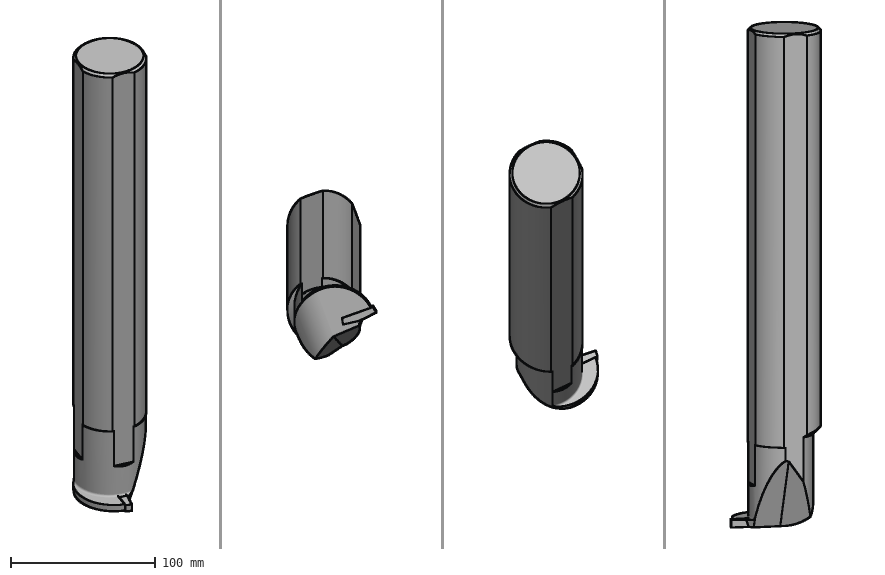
import cadquery as cq
import math

bar_length = 350.0
shank_radius = 25.4
flat_distance = 24.0
end_chamfer = 2.0
flat_end_z = 30.0
shank_end_z = 58.5
head_radius = 25.1
clear_size = 4 * shank_radius

blade_radius = 28.3
blade_reach_y = 28.79
blade_center = (8.45, blade_radius - blade_reach_y)
blade_thickness = 5.2
blade_fillet = 1.5

relief_top_z = 65.0
heel_radius = 25.0
heel_depth = 24.9

gullet_tilt = 20.5
gullet_half_height = 70.0
gullet_back = (-60.0, 37.0)
gullet_floor_start = (5.0, 5.4)
gullet_floor_end = (24.0, 4.3)
gullet_nose = (31.5, -4.0)

insert_tip_x = 38.7
insert_length = 24.5
insert_bottom_y = -4.5
insert_crown_y = 1.4
insert_rake_y = 0.7
insert_head_length = 5.5
insert_end_relief = 0.8
insert_overhang = 0.02


def bar_blank():
    """Chamfered round shank on the slightly slimmer round head."""
    shank = (
        cq.Workplane("XY")
        .workplane(offset=shank_end_z)
        .circle(shank_radius)
        .extrude(bar_length - shank_end_z)
        .faces(">Z")
        .chamfer(end_chamfer)
    )
    head = cq.Workplane("XY").circle(head_radius).extrude(shank_end_z)
    return shank.union(head)


def flat_envelope():
    """Flats towards -Y, +Y and +X that run out at their foot on 45 degree ramps."""
    width = flat_distance + clear_size
    center_x = flat_distance - width / 2
    base = cq.Workplane("XY").workplane(offset=flat_end_z).center(center_x, 0)
    above = base.rect(width, 2 * flat_distance).extrude(bar_length)
    ramps = base.rect(width, 2 * flat_distance).extrude(-flat_end_z, taper=-45)
    return above.union(ramps)


def blade():
    return cq.Workplane("XY").center(*blade_center).circle(blade_radius).extrude(blade_thickness)


def blade_root():
    """Ring with a concave quarter-round section between the head and the blade."""
    outer_radius = head_radius + blade_fillet
    return (
        cq.Workplane("XZ")
        .moveTo(0, blade_thickness)
        .lineTo(outer_radius, blade_thickness)
        .radiusArc((head_radius, blade_thickness + blade_fillet), blade_fillet)
        .lineTo(0, blade_thickness + blade_fillet)
        .close()
        .revolve(360, (0, 0, 0), (0, 1, 0))
    )


def relief_envelope():
    """Cylinder of the blade, opening upward through a 45 degree cone to clear the shank."""
    center_x, center_y = blade_center
    lower = cq.Workplane("XY").center(center_x, center_y).circle(blade_radius).extrude(relief_top_z)
    cone = cq.Solid.makeCone(
        blade_radius,
        blade_radius + bar_length,
        bar_length,
        pnt=cq.Vector(center_x, center_y, relief_top_z),
    )
    return lower.union(cq.Workplane(cone))


def heel_cut():
    """Rounds the lower back corner with an arc about an axis along Y."""
    back_x = blade_center[0] - blade_radius
    heel_x = back_x + heel_depth
    axis_x = heel_x - heel_radius
    return (
        cq.Workplane("XZ")
        .moveTo(axis_x, heel_radius)
        .radiusArc((heel_x, 0), -heel_radius)
        .lineTo(axis_x, 0)
        .close()
        .extrude(clear_size, both=True)
    )


def gullet_cut():
    tilt = math.radians(gullet_tilt)
    section = cq.Plane(origin=(0, 0, 0), xDir=(1, 0, 0), normal=(0, math.sin(tilt), math.cos(tilt)))
    back_x = gullet_back[0]
    nose_y = gullet_nose[1]
    return (
        cq.Workplane(section)
        .polyline([
            gullet_back,
            gullet_floor_start,
            gullet_floor_end,
            gullet_nose,
            (clear_size, nose_y),
            (clear_size, clear_size),
            (back_x, clear_size),
        ])
        .close()
        .extrude(gullet_half_height, both=True)
    )


def make_insert():
    """Bar-shaped insert: crowned along its rake side, flared in thickness at both cutting edges."""
    inner_x = insert_tip_x - insert_length
    inner_head_x = inner_x + insert_head_length
    outer_head_x = insert_tip_x - insert_head_length
    inner_crown_x = inner_head_x + insert_head_length
    outer_crown_x = outer_head_x - insert_head_length
    proud_top = blade_thickness + insert_overhang
    profile = (
        cq.Workplane("XY")
        .workplane(offset=-insert_overhang)
        .polyline([
            (inner_x, 0),
            (inner_x + insert_end_relief, insert_bottom_y),
            (insert_tip_x - insert_end_relief, insert_bottom_y),
            (insert_tip_x, 0),
            (outer_head_x, insert_rake_y),
            (outer_crown_x, insert_crown_y),
            (inner_crown_x, insert_crown_y),
            (inner_head_x, insert_rake_y),
        ])
        .close()
        .extrude(blade_thickness + 2 * insert_overhang)
    )
    thickness = (
        cq.Workplane("XZ")
        .polyline([
            (inner_x, -insert_overhang),
            (inner_head_x, 0),
            (outer_head_x, 0),
            (insert_tip_x, -insert_overhang),
            (insert_tip_x, proud_top),
            (outer_head_x, blade_thickness),
            (inner_head_x, blade_thickness),
            (inner_x, proud_top),
        ])
        .close()
        .extrude(clear_size, both=True)
    )
    return profile.intersect(thickness)


def make_holder(pocket):
    """Boring bar with its blade; the pocket is the space taken by the insert."""
    bar = bar_blank().intersect(flat_envelope()).union(blade_root())
    bar = bar.intersect(relief_envelope())
    holder = bar.union(blade()).cut(heel_cut()).cut(gullet_cut())
    return holder.cut(pocket)


insert = make_insert()
holder = make_holder(insert)
result = cq.Compound.makeCompound([holder.val(), insert.val()])